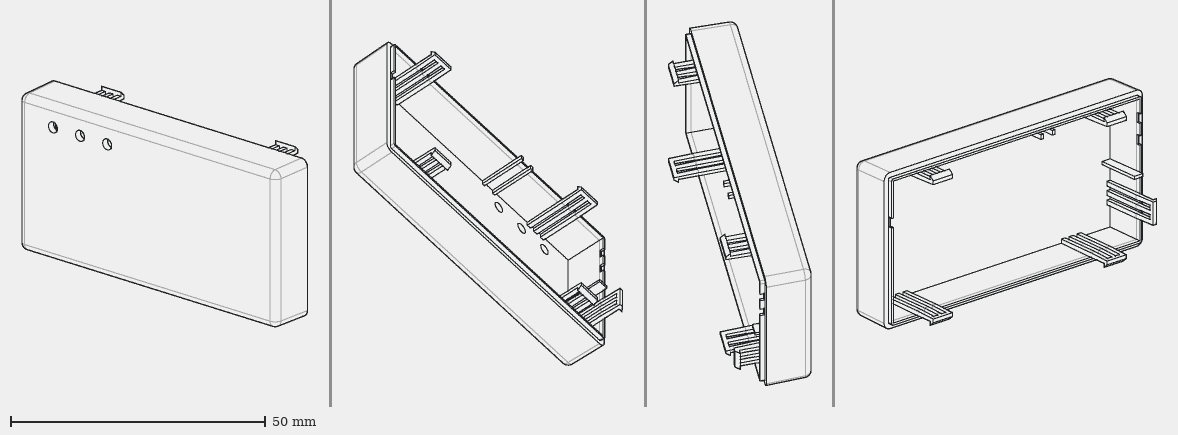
import cadquery as cq

LENGTH = 66.7
HEIGHT = 33.4
TOTAL_DEPTH = 15.4
DRAFT = 1.0
WALL = 1.55
CORNER_RADIUS = WALL

LIP_HEIGHT = 1.0
LIP_INSET = 1.1

HOOK_RISE = 5.0
HOOK_WIDTH = 5.0
LEG_COUNT = 3
LEG_PITCH = 2.0
SLOT_AT_BARB = 1.1
SLOT_AT_ROOT = 1.0
HOOK_ROOT = 1.0
HOOK_TIP = 0.8
BARB_REACH = 0.9
BARB_HEIGHT = 0.95
LONG_SIDE_HOOKS_X = (-21.6, 23.3)
END_HOOK_Z = -7.55

RIB_WIDTH = 0.7
TOP_RIB_DEPTH = 1.0
TOP_RIBS = ((-8.8, 0.95), (-5.7, 1.15))
END_RIB_DEPTH = 2.2
END_RIB_Z = -0.8
END_RIB_RISE = 0.95

NOTCH_WIDTH = 2.0
NOTCH_DEPTH = 0.8
THROUGH_NOTCH_Z = 6.3
SINGLE_NOTCH_Z = 10.95

HOLE_DIAMETER = 2.3
HOLE_PITCH = 7.0
FIRST_HOLE_X = -24.4
HOLE_COUNT = 3
HOLE_Z = 11.6

LIP_TOP = TOTAL_DEPTH - HOOK_RISE
RIM = LIP_TOP - LIP_HEIGHT
INNER_X = LENGTH / 2 - WALL
INNER_Z = HEIGHT / 2 - WALL


def plane_at(y):
    """XZ sketch plane at depth y, facing the front (-Y)."""
    return cq.Workplane("XZ", origin=(0, y, 0))


def box(x_range, y_range, z_range):
    """Box spanning the three given ranges."""
    low, high = zip(x_range, y_range, z_range)
    size = [b - a for a, b in zip(low, high)]
    return cq.Workplane("XY").box(*size, centered=False).translate(low)


def span(centre, width):
    return centre - width / 2, centre + width / 2


def make_tray():
    """Drafted, rounded body with a drafted cavity behind the front wall."""
    body = plane_at(RIM).rect(LENGTH, HEIGHT).extrude(RIM, taper=DRAFT)
    body = body.edges("not >Y").fillet(CORNER_RADIUS)
    cavity = plane_at(RIM).rect(2 * INNER_X, 2 * INNER_Z).extrude(RIM - WALL, taper=DRAFT)
    return body.cut(cavity)


def make_lip():
    lip = plane_at(LIP_TOP).rect(LENGTH - 2 * LIP_INSET, HEIGHT - 2 * LIP_INSET).extrude(LIP_HEIGHT)
    lip = lip.edges("|Y").fillet(CORNER_RADIUS - LIP_INSET)
    return lip.cut(plane_at(LIP_TOP).rect(2 * INNER_X, 2 * INNER_Z).extrude(LIP_HEIGHT))


def make_hook():
    """Hook on the -X wall, centred on Z = 0, rooted on the front wall."""
    outer = -INNER_X
    barb_base = TOTAL_DEPTH - BARB_HEIGHT
    profile = [
        (outer, WALL),
        (outer, barb_base),
        (outer - BARB_REACH, barb_base),
        (outer, TOTAL_DEPTH),
        (outer + HOOK_TIP, TOTAL_DEPTH),
        (outer + HOOK_ROOT, LIP_TOP),
        (outer + HOOK_ROOT, WALL),
    ]
    hook = cq.Workplane("XY").polyline(profile).close().extrude(HOOK_WIDTH / 2, both=True)
    slot_outline = [
        (WALL, SLOT_AT_ROOT / 2),
        (LIP_TOP, SLOT_AT_ROOT / 2),
        (barb_base, SLOT_AT_BARB / 2),
        (barb_base, -SLOT_AT_BARB / 2),
        (LIP_TOP, -SLOT_AT_ROOT / 2),
        (WALL, -SLOT_AT_ROOT / 2),
    ]
    slot = cq.Workplane("YZ", origin=(outer, 0, 0)).polyline(slot_outline).close().extrude(HOOK_ROOT)
    for gap in range(LEG_COUNT - 1):
        slot_z = (gap + 1 - LEG_COUNT / 2) * LEG_PITCH
        hook = hook.cut(slot.translate((0, 0, slot_z)))
    return hook


def make_hooks():
    """One hook on the -X end and a facing pair at each place along the long sides."""
    hook = make_hook()
    hooks = hook.translate((0, 0, END_HOOK_Z))
    top_hook = hook.translate((INNER_X, 0, 0)).rotate((0, 0, 0), (0, 1, 0), 90).translate((0, 0, INNER_Z))
    for x in LONG_SIDE_HOOKS_X:
        placed = top_hook.translate((x, 0, 0))
        hooks = hooks.union(placed).union(placed.mirror("XY"))
    return hooks


def make_ribs():
    """Ribs rooted on the front wall: one inside the -X wall, the others inside the +Z wall."""
    end_range = (-INNER_X, END_RIB_DEPTH - INNER_X)
    ribs = box(end_range, (WALL, LIP_TOP + END_RIB_RISE), span(END_RIB_Z, RIB_WIDTH))
    top_range = (INNER_Z - TOP_RIB_DEPTH, INNER_Z)
    for x, rise in TOP_RIBS:
        ribs = ribs.union(box(span(x, RIB_WIDTH), (WALL, LIP_TOP + rise), top_range))
    return ribs


def make_notches():
    depth_range = (LIP_TOP - NOTCH_DEPTH, LIP_TOP)
    through = box((-LENGTH / 2, LENGTH / 2), depth_range, span(THROUGH_NOTCH_Z, NOTCH_WIDTH))
    single = box((-LENGTH / 2, -INNER_X), depth_range, span(SINGLE_NOTCH_Z, NOTCH_WIDTH))
    return through.union(single)


def make_holes():
    centres = [(FIRST_HOLE_X + i * HOLE_PITCH, HOLE_Z) for i in range(HOLE_COUNT)]
    return plane_at(WALL).pushPoints(centres).circle(HOLE_DIAMETER / 2).extrude(WALL)


result = make_tray().union(make_lip()).cut(make_notches()).cut(make_holes())
result = result.union(make_hooks()).union(make_ribs()).solids()